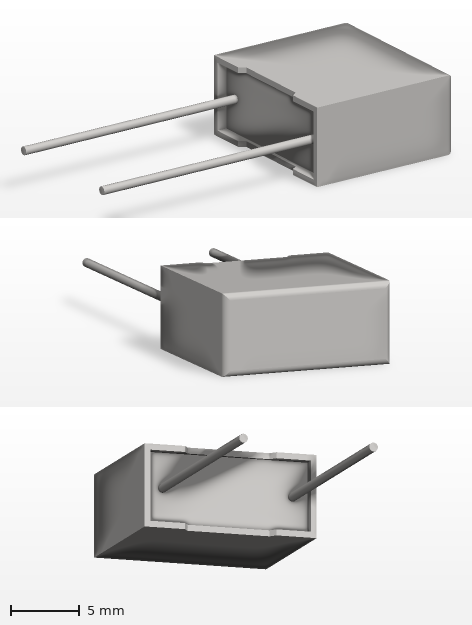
import cadquery as cq


total_length = 30.1
housing_width = 13.2
housing_height = 6.2
housing_length = 12.1
wall = 0.45
back_fillet = 0.48
recess_depth = 0.78
notch_rim_width = 7.0
notch_floor_width = 6.32
notch_depth = 0.48
lead_diameter = 0.65
lead_pitch = 10.0

cavity_width = housing_width - 2 * wall
cavity_height = housing_height - 2 * wall
cavity_length = housing_length - wall
potting_length = cavity_length - recess_depth
lead_tip = housing_length - total_length
lead_length = recess_depth - lead_tip


def block(width, length, height, front):
    """Box centred on X and Z, extending toward +Y from the given front plane."""
    return cq.Workplane("XY").box(width, length, height, centered=(True, False, True)).translate((0, front, 0))


def make_notch():
    """Tapered notch cut through the top and bottom walls at the rim."""
    return (
        cq.Workplane("XY")
        .moveTo(-notch_rim_width / 2, 0)
        .lineTo(notch_rim_width / 2, 0)
        .lineTo(notch_floor_width / 2, notch_depth)
        .lineTo(-notch_floor_width / 2, notch_depth)
        .close()
        .extrude(housing_height / 2, both=True)
    )


def make_housing():
    """Rectangular cup with a rounded closed back and a notched open front."""
    shell = block(housing_width, housing_length, housing_height, 0).faces(">Y").edges().fillet(back_fillet)
    cavity = block(cavity_width, cavity_length, cavity_height, 0)
    return shell.cut(cavity).cut(make_notch())


def make_potting():
    """Block filling the cavity behind the recessed front face."""
    return block(cavity_width, potting_length, cavity_height, recess_depth)


def make_lead(x):
    """Straight round wire running from the potting face to the lead tip."""
    return (
        cq.Workplane("XZ", origin=(x, recess_depth, 0))
        .circle(lead_diameter / 2)
        .extrude(lead_length)
    )


housing = make_housing()
potting = make_potting()
leads = [make_lead(side * lead_pitch / 2) for side in (-1, 1)]

result = cq.Compound.makeCompound([housing.val(), potting.val(), *[lead.val() for lead in leads]])